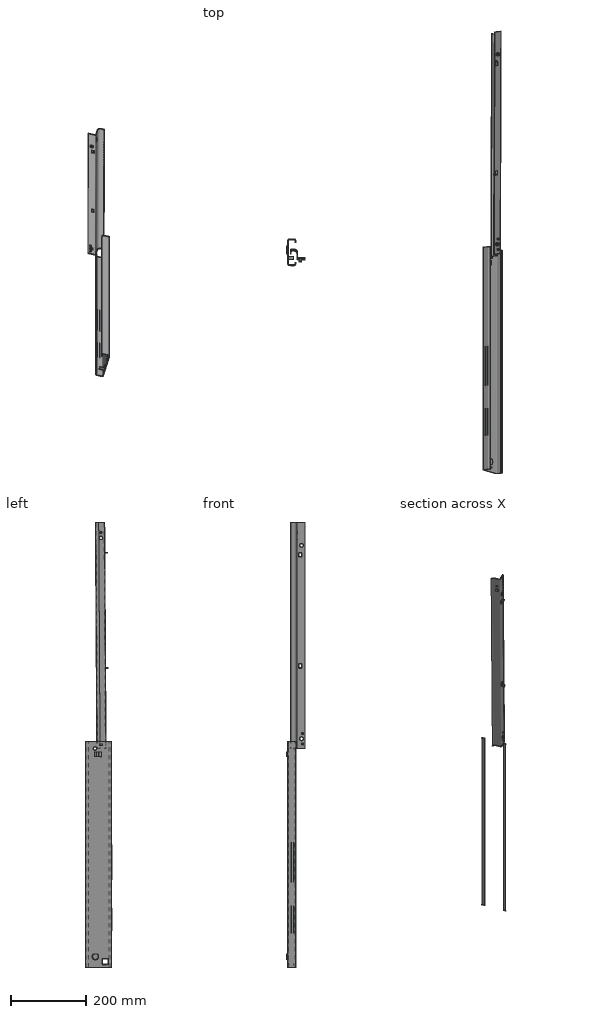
import cadquery as cq
import math

total_length = 1185.0
sheet = 1.9
bend_radius = 4.0
tool_margin = 12.0

channel_length = 602.0
channel_left = 4.0
channel_depth = 21.0
channel_right = channel_left + channel_depth
channel_top = 35.0
bump_height = 1.0
channel_bottom = -channel_top + bump_height
lip_height = 8.9
lip_tip = channel_top - lip_height

rail_length = channel_length
rail_start = total_length - rail_length
rail_lean = 0.35
rail_top = 5.3
rail_height = 25.0
rail_bottom = rail_top - rail_height
hook_left = 11.0
hook_drop = 8.9
web_bend_radius = 8.0
web_right = 30.0
flange_right = 50.0
web_left = web_right - sheet
flange_top = rail_bottom + sheet


def block(x_range, y_range, z_range):
    """Box given by its limits along each axis."""
    size = [high - low for low, high in (x_range, y_range, z_range)]
    corner = (x_range[0], y_range[0], z_range[0])
    return cq.Workplane("XY").box(*size, centered=False).translate(corner)


def rounded_tube(x_range, y_range, z_range):
    """Rectangular tube of sheet thickness with rounded long edges."""
    inner_x = (x_range[0] + sheet, x_range[1] - sheet)
    inner_y = (y_range[0] + sheet, y_range[1] - sheet)
    outer = block(x_range, y_range, z_range).edges("|Z").fillet(bend_radius)
    inner = block(inner_x, inner_y, z_range).edges("|Z").fillet(bend_radius - sheet)
    return outer.cut(inner)



def channel_section():
    """Tube opened along its +X side, leaving the plate and two lips."""
    z_range = (0, channel_length)
    tube = rounded_tube((channel_left, channel_right), (channel_bottom, channel_top), z_range)
    opening_left = channel_right - bend_radius
    opening = block((opening_left, channel_right + tool_margin), (-lip_tip, lip_tip), z_range)
    return tube.cut(opening)


def ramped_bump(z_bottom, z_flat_low, z_flat_high, z_top, left, right):
    """Low bump standing out of the -Y lip, with a ramp at each end."""
    profile = [
        (channel_bottom + sheet / 2, z_bottom),
        (channel_bottom, z_bottom),
        (channel_bottom - bump_height, z_flat_low),
        (channel_bottom - bump_height, z_flat_high),
        (channel_bottom, z_top),
        (channel_bottom + sheet / 2, z_top),
    ]
    return cq.Workplane("YZ").polyline(profile).close().extrude(right - left).translate((left, 0, 0))


def add_lip_bumps(body):
    """Two bumps pressed out of the -Y lip, hollow on the inside."""
    bump_left = 12.0
    bump_width = 8.9
    bump_right = bump_left + bump_width
    long_bump = (228.0, 265.0, 299.0, 333.0)
    short_bump = (92.0, 125.0, 132.0, 165.0)
    for heights in (long_bump, short_bump):
        bump = ramped_bump(*heights, bump_left, bump_right)
        hollow = ramped_bump(*heights, bump_left + sheet, bump_right - sheet)
        body = body.union(bump).cut(hollow.translate((0, sheet, 0)))
    return body


def add_lower_button(body):
    """Round tapered button on the outer face, cut flat on its upper side."""
    center_y = 8.9
    center_z = 30.0
    flat_z = 37.0
    radius = 8.9
    taper = 20
    button = (
        cq.Workplane("YZ", origin=(channel_left, center_y, center_z))
        .circle(radius)
        .extrude(-channel_left, taper=taper)
    )
    above_flat = block(
        (-tool_margin, channel_left),
        (center_y - radius, center_y + radius),
        (flat_z, center_z + radius),
    )
    return body.union(button.cut(above_flat))


def add_upper_hook(body):
    """Hook on the outer face, reaching over the window it was bent from."""
    hook_z = (562.0, 574.0)
    window_y = (-7.0, 1.0)
    hook_foot = 12.0
    hook_shoulder = 6.0
    hook_tip = -4.0
    profile = [
        (channel_left, hook_foot),
        (0, hook_shoulder),
        (0, hook_tip),
        (sheet, hook_tip),
        (sheet, window_y[1]),
        (channel_left, window_y[1]),
    ]
    hook = (
        cq.Workplane("XY", origin=(0, 0, hook_z[0]))
        .polyline(profile)
        .close()
        .extrude(hook_z[1] - hook_z[0])
    )
    window = block((channel_left, channel_left + sheet), window_y, hook_z)
    return body.union(hook).cut(window)


def cut_plate_holes(body):
    """Round hole and short slot near the upper end of the plate."""
    hole_y = 10.1
    hole_z = 583.0
    hole_diameter = 8.0
    slot_y = (-10.0, -2.0)
    slot_z = (591.0, 595.0)
    hole = (
        cq.Workplane("YZ", origin=(channel_left, hole_y, hole_z))
        .circle(hole_diameter / 2)
        .extrude(sheet)
    )
    slot = block((channel_left, channel_left + sheet), slot_y, slot_z)
    return body.cut(hole).cut(slot)


def add_stop_tab(body):
    """Window near the lower end, with a tab bent inwards from its lower edge."""
    window_y = (-25.0, -10.0)
    window_z = (10.0, 24.0)
    tab_y = (-19.0, -11.0)
    tab_right = 19.0
    plate_inside = channel_left + sheet
    window = block((channel_left, plate_inside), window_y, window_z)
    tab = block((channel_left, tab_right), tab_y, (window_z[0] - sheet, window_z[0]))
    return body.cut(window).union(tab)


def make_channel():
    body = channel_section()
    body = add_lip_bumps(body)
    body = add_lower_button(body)
    body = add_upper_hook(body)
    body = cut_plate_holes(body)
    return add_stop_tab(body)



def rail_section():
    """Hook and upper web from one bent strip, lower web and flange from another."""
    z_range = (rail_start, total_length)
    hook_tip = rail_top - hook_drop
    web_middle = (rail_top + rail_bottom) / 2
    hook_inside = hook_left + sheet
    top_inside = rail_top - sheet
    outer = block((hook_left, web_right), (web_middle, rail_top), z_range)
    outer = outer.edges("|Z and >Y and >X").fillet(web_bend_radius)
    outer = outer.edges("|Z and >Y and <X").fillet(bend_radius)
    inner = block((hook_inside, web_left), (web_middle, top_inside), z_range)
    inner = inner.edges("|Z and >Y and >X").fillet(web_bend_radius - sheet)
    inner = inner.edges("|Z and >Y and <X").fillet(bend_radius - sheet)
    hook = outer.cut(inner).cut(block((hook_left, hook_inside), (web_middle, hook_tip), z_range))

    far_right = flange_right + bend_radius
    flange = rounded_tube((web_left, far_right), (rail_bottom, rail_top), z_range)
    flange = flange.cut(block((web_left, far_right), (web_middle, rail_top), z_range))
    flange = flange.cut(block((flange_right, far_right), (rail_bottom, rail_top), z_range))
    return hook.union(flange)


def add_flange_tabs(body):
    """Two windows in the flange, each with a tab bent down from one edge."""
    tab_x = (33.0, 40.0)
    tab_bottom = -26.0
    window_height = 12.0
    upper_tab_z = 1103.0
    lower_tab_z = 796.0
    upper_window = (upper_tab_z + sheet - window_height, upper_tab_z)
    lower_window = (lower_tab_z + sheet, lower_tab_z + window_height)
    for tab_z, window_z in ((upper_tab_z, upper_window), (lower_tab_z, lower_window)):
        body = body.cut(block(tab_x, (rail_bottom, flange_top), window_z))
        body = body.union(block(tab_x, (tab_bottom, flange_top), (tab_z, tab_z + sheet)))
    return body


def cut_flange_holes(body):
    """Mounting holes through the flange, as (x, z, diameter)."""
    large = 10.0
    small = 5.0
    holes = (
        (40.0, 1123.0, large),
        (40.0, 609.0, large),
        (43.0, 623.0, small),
        (43.0, 595.0, small),
    )
    for x, z, diameter in holes:
        drill = cq.Workplane("XZ", origin=(x, flange_top, z)).circle(diameter / 2).extrude(sheet)
        body = body.cut(drill)
    return body


def cut_web_holes(body):
    """Two holes through the web near the upper end, as (z, diameter)."""
    hole_y = -10.0
    for z, diameter in ((1158.0, 5.0), (1144.0, 8.0)):
        drill = cq.Workplane("YZ", origin=(web_left, hole_y, z)).circle(diameter / 2).extrude(sheet)
        body = body.cut(drill)
    return body


def make_rail():
    body = rail_section()
    body = cut_web_holes(body)
    body = add_flange_tabs(body)
    body = cut_flange_holes(body)
    pivot = (0, rail_bottom, total_length)
    pivot_end = (1, rail_bottom, total_length)
    leaned = body.rotate(pivot, pivot_end, -rail_lean)
    return leaned.translate((0, rail_length * math.sin(math.radians(rail_lean)), 0))


channel = make_channel()
rail = make_rail()

result = cq.Compound.makeCompound([channel.solids().val(), rail.solids().val()])